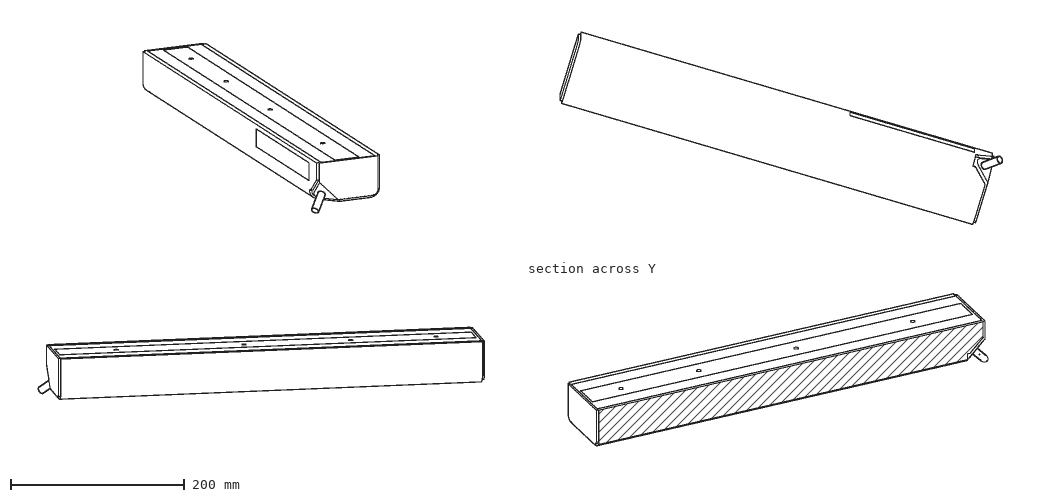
import cadquery as cq
import math

LENGTH = 500.0
WIDTH = 80.0
HEIGHT = 50.0
BOTTOM_RADIUS = 12.0

SHELL_THICKNESS = 3.0
CORE_RADIUS = 7.5
END_STEP = 2.5

CORE_SETBACK = 29.5
TRIM_SETBACK = 31.5
TRIM_REACH = 22.5

RECESS_DEPTH = 0.25
LID_MARGIN = 6.0
STRIP_END_MARGIN = 5.5
STRIP_WIDTH = 30.5
PANEL_START = 326.0
PANEL_LENGTH = 150.0
PANEL_BOTTOM = 23.0
PANEL_HEIGHT = 21.5

HOLE_DIAMETER = 5.0
HOLE_DEPTH = 5.0
HOLE_POSITIONS = (50.0, 150.0, 275.0, 425.0)

CABLE_DIAMETER = 9.0
BORE_DIAMETER = 7.5
CABLE_OVERHANG = 8.5

CORNER = cq.Vector(LENGTH, 0, 0)
CABLE_DIRECTION = cq.Vector(1, -1, -1).normalized()


def rounded_bar(end_inset, side_inset, bottom_radius):
    """Full-height bar, inset at its ends and at its sides and bottom."""
    return (
        cq.Workplane("XY")
        .box(
            LENGTH - 2 * end_inset,
            WIDTH - 2 * side_inset,
            HEIGHT - side_inset,
            centered=False,
        )
        .translate((end_inset, side_inset, side_inset))
        .edges("|X and <Z")
        .fillet(bottom_radius)
    )


def trim_shell(shell):
    """Trim the side and bottom walls of the shell square to their faces at the cut corner."""
    trim_outline = [
        (LENGTH, 0),
        (LENGTH - TRIM_REACH, 0),
        (LENGTH - TRIM_REACH, TRIM_SETBACK - TRIM_REACH),
        (LENGTH, TRIM_SETBACK),
    ]
    side_trim = cq.Workplane("XZ").polyline(trim_outline).close().extrude(-BOTTOM_RADIUS)
    bottom_trim = cq.Workplane("XY").polyline(trim_outline).close().extrude(BOTTOM_RADIUS)
    return shell.cut(side_trim).cut(bottom_trim)


def cut_corner(body):
    """Remove the +X, -Y, -Z corner with a plane square to the cable."""
    depth = CORE_SETBACK / math.sqrt(3)
    plane = cq.Plane(CORNER - CABLE_DIRECTION * depth, normal=CABLE_DIRECTION)
    block_size = 4 * CORE_SETBACK
    return body.cut(cq.Workplane(plane).rect(block_size, block_size).extrude(block_size))


def top_recess(end_margin, width, depth):
    """Box that sinks a centred strip of the top face by the given depth."""
    return (
        cq.Workplane("XY", origin=(LENGTH / 2, WIDTH / 2, HEIGHT - depth))
        .rect(LENGTH - 2 * end_margin, width)
        .extrude(depth)
    )


def front_panel():
    """Box that sinks the panel outline into the -Y side."""
    return (
        cq.Workplane("XY", origin=(PANEL_START, 0, PANEL_BOTTOM))
        .box(PANEL_LENGTH, RECESS_DEPTH, PANEL_HEIGHT, centered=False)
    )


def screw_holes():
    """Row of blind holes along the centre line of the top."""
    return (
        cq.Workplane("XY", origin=(0, WIDTH / 2, HEIGHT))
        .pushPoints([(x, 0) for x in HOLE_POSITIONS])
        .circle(HOLE_DIAMETER / 2)
        .extrude(-HOLE_DEPTH)
    )


def add_cable(body):
    """Hollow cable sheath on the corner diagonal, ending on the cut face."""
    centre_reach = CABLE_OVERHANG - CABLE_DIAMETER / 2 * math.sqrt(2 / 3)
    tip_distance = centre_reach * math.sqrt(3)
    cable_length = tip_distance + CORE_SETBACK / math.sqrt(3)
    tip_plane = cq.Plane(CORNER + CABLE_DIRECTION * tip_distance, normal=CABLE_DIRECTION)
    cable = cq.Workplane(tip_plane).circle(CABLE_DIAMETER / 2).extrude(-cable_length)
    bore = cq.Workplane(tip_plane).circle(BORE_DIAMETER / 2).extrude(-cable_length)
    return body.union(cable).cut(bore)


shell = trim_shell(rounded_bar(END_STEP, 0, BOTTOM_RADIUS))
core = rounded_bar(0, SHELL_THICKNESS, CORE_RADIUS)
body = cut_corner(shell.union(core))

body = body.cut(top_recess(END_STEP, WIDTH - 2 * LID_MARGIN, RECESS_DEPTH))
body = body.cut(top_recess(STRIP_END_MARGIN, STRIP_WIDTH, 2 * RECESS_DEPTH))
body = body.cut(front_panel())
body = body.cut(screw_holes())

result = add_cable(body)